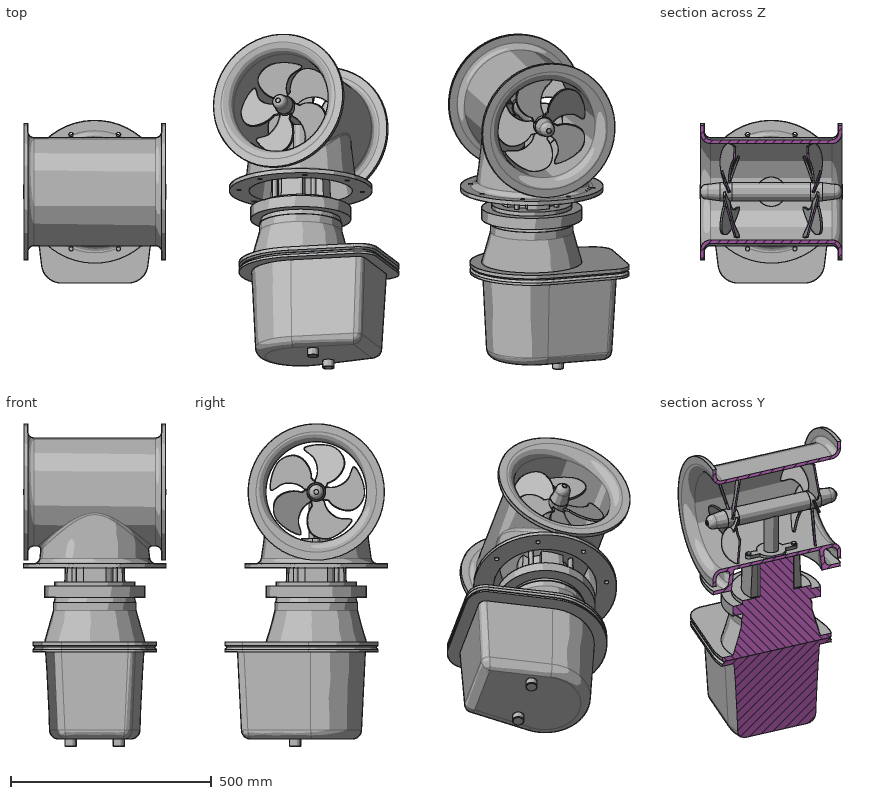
import cadquery as cq
import math


BORE_RADIUS = 125.0
TUNNEL_WALL = 10.0
TUNNEL_RADIUS = BORE_RADIUS + TUNNEL_WALL
TUNNEL_HALF_LENGTH = 176.5
BELL_RADIUS = 25.0
BELL_START = TUNNEL_HALF_LENGTH - BELL_RADIUS
RIM_RADIUS = 170.0
RIM_INNER_FACE = TUNNEL_HALF_LENGTH - TUNNEL_WALL
BELL_OUTER_RADIUS = BELL_RADIUS - TUNNEL_WALL

PEDESTAL_FLANGE_RADIUS = 178.0
PEDESTAL_FLANGE_TOP = -178.7
PEDESTAL_FLANGE_THICKNESS = 10.5
PEDESTAL_FLANGE_BOTTOM = PEDESTAL_FLANGE_TOP - PEDESTAL_FLANGE_THICKNESS
PEDESTAL_BASE_RADIUS = 138.8
PEDESTAL_DRAFT = 7.0
PEDESTAL_BASE_FILLET = 15.0
PEDESTAL_TOP_FILLET = 8.0
EDGE_MARGIN = 1.0
PEDESTAL_WALL = 10.0
FLANGE_HOLE_COUNT = 8
FLANGE_HOLE_DIAMETER = 10.5
FLANGE_HOLE_PITCH_RADIUS = 154.0

COLUMN_BOTTOM = -224.0
COLUMN_BOTTOM_RADIUS = 75.0
COLUMN_DRAFT = 2.5
COLUMN_CORE_RADIUS = 57.0
COLUMN_POST_WIDTH = 56.0
COLUMN_ROD_COUNT = 4
COLUMN_ROD_DIAMETER = 12.0
COLUMN_ROD_PITCH_RADIUS = 72.0
COLLAR_RADIUS = 100.0
COLLAR_BOTTOM = -234.0
RING_RADIUS = 125.0
RING_BOTTOM = -262.5
NECK_TOP_RADIUS = 99.0
NECK_BOTTOM_RADIUS = 101.5
BAND_RADIUS = 103.0
BAND_TOP = -275.0
BAND_BOTTOM = -295.0
CONE_BASE_RADIUS = 125.0
LID_TOP = -373.2
LID_BOTTOM = -386.5
LID_CHAMFER = 4.5

LID_RADIUS = 154.0
OVERALL_DEPTH = 405.81
LID_END = OVERALL_DEPTH - PEDESTAL_FLANGE_RADIUS
LID_CORNER_RADIUS = 50.0
SIDE_ANGLE = 7.0

OVERALL_HEIGHT = 804.73
RIM_BOTTOM = -398.7
RIM_CHAMFER = 6.0
BOX_INSET = 31.4
BOX_BOTTOM = -616.0
BOX_DRAFT = 2.85
BOX_BOTTOM_FILLET = 24.0
BOX_CORNER_RADIUS = LID_CORNER_RADIUS - BOX_INSET
BOX_FOOT_DIAMETER = 28.5
BOX_FOOT_CHAMFER = 1.5
BOX_FOOT_BOTTOM = RIM_RADIUS - OVERALL_HEIGHT
BOX_FOOT_OFFSET_X = 60.0
BOX_FOOT_Y = -52.5

GEAR_RADIUS = 23.0
GEAR_HALF_LENGTH = 98.0
HUB_RADIUS = 23.5
SPINNER_START = 128.0
SPINNER_START_RADIUS = 22.5
DOME_START = 158.0
DOME_RADIUS = 18.5
DOME_END = 176.0
STUD_RADIUS = 6.0
STUD_END = 178.0
LEG_RADIUS = 18.5
LEG_FOOT_DIAMETER = 73.0
LEG_FOOT_TOP = -116.0
BOLT_HEAD_DIAMETER = 12.0
BOLT_HEAD_HEIGHT = 4.0
BOLT_OFFSET_X = 62.0
FOOT_BAR_LENGTH = 140.0
FOOT_BAR_WIDTH = 18.0
BLADE_COUNT = 5
BLADE_PITCH = 20.0
BLADE_RAKE = 9.5
BLADE_THICKNESS = 5.0
BLADE_MID_X = -110.0
BLADE_ROOT_LEADING = (-20, 0)
BLADE_NECK_LEADING = (-31, 21)
BLADE_LEADING_CURVE = [(-67, 46), (-75, 68), (-65, 95), (-36, 115)]
BLADE_TIP_MID = (-10, 119)
BLADE_TIP_END = (20, 117)
BLADE_TRAILING_CURVE = [(32, 111), (14, 94), (-1, 70), (2, 31)]
BLADE_ROOT_TRAILING = (2, 0)


def cylinder_x(radius, half_length):
    """Cylinder on the tunnel axis, centred on the origin."""
    return cq.Workplane("YZ").circle(radius).extrude(half_length, both=True)


def cylinder_z(radius, bottom, top):
    """Cylinder on the column axis."""
    return cq.Workplane("XY").workplane(offset=bottom).circle(radius).extrude(top - bottom)


def cone_z(bottom_radius, bottom, top, draft):
    """Cone on the column axis that narrows upwards by the draft angle."""
    top_radius = bottom_radius - (top - bottom) * math.tan(math.radians(draft))
    profile = cq.Workplane("XZ").moveTo(0, bottom).lineTo(bottom_radius, bottom)
    return profile.lineTo(top_radius, top).lineTo(0, top).close().revolve(360, (0, 0, 0), (0, 1, 0))


def bell_mouth_tube():
    """Tube along X whose wall sweeps outwards into a flat rim at both ends."""
    diagonal = math.sqrt(0.5)
    centre_radius = BORE_RADIUS + BELL_RADIUS
    inner_mid_x = BELL_START + BELL_RADIUS * diagonal
    inner_mid_radius = centre_radius - BELL_RADIUS * diagonal
    outer_mid_x = BELL_START + BELL_OUTER_RADIUS * diagonal
    outer_mid_radius = centre_radius - BELL_OUTER_RADIUS * diagonal
    profile = (
        cq.Workplane("XY")
        .moveTo(-BELL_START, BORE_RADIUS)
        .lineTo(BELL_START, BORE_RADIUS)
        .threePointArc((inner_mid_x, inner_mid_radius), (TUNNEL_HALF_LENGTH, centre_radius))
        .lineTo(TUNNEL_HALF_LENGTH, RIM_RADIUS)
        .lineTo(RIM_INNER_FACE, RIM_RADIUS)
        .lineTo(RIM_INNER_FACE, centre_radius)
        .threePointArc((outer_mid_x, outer_mid_radius), (BELL_START, TUNNEL_RADIUS))
        .lineTo(-BELL_START, TUNNEL_RADIUS)
        .threePointArc((-outer_mid_x, outer_mid_radius), (-RIM_INNER_FACE, centre_radius))
        .lineTo(-RIM_INNER_FACE, RIM_RADIUS)
        .lineTo(-TUNNEL_HALF_LENGTH, RIM_RADIUS)
        .lineTo(-TUNNEL_HALF_LENGTH, centre_radius)
        .threePointArc((-inner_mid_x, inner_mid_radius), (-BELL_START, BORE_RADIUS))
        .close()
    )
    return profile.revolve(360, (0, 0, 0), (1, 0, 0))


def make_tunnel():
    """Bell-mouthed tube on a hollow conical pedestal with a drilled flange."""
    pedestal = cone_z(PEDESTAL_BASE_RADIUS, PEDESTAL_FLANGE_TOP, 0, PEDESTAL_DRAFT)
    flange = cylinder_z(PEDESTAL_FLANGE_RADIUS, PEDESTAL_FLANGE_BOTTOM, PEDESTAL_FLANGE_TOP)
    foot = pedestal.union(flange)
    reach = FLANGE_HOLE_PITCH_RADIUS
    base_edge = cq.selectors.BoxSelector(
        (-reach, -reach, PEDESTAL_FLANGE_TOP - EDGE_MARGIN),
        (reach, reach, PEDESTAL_FLANGE_TOP + EDGE_MARGIN),
        boundingbox=True,
    )
    foot = foot.edges(base_edge).fillet(PEDESTAL_BASE_FILLET)
    body = foot.cut(cylinder_x(BORE_RADIUS, TUNNEL_HALF_LENGTH)).union(bell_mouth_tube())
    junction = cq.selectors.BoxSelector(
        (-BELL_START, -TUNNEL_RADIUS, -TUNNEL_RADIUS - EDGE_MARGIN),
        (BELL_START, TUNNEL_RADIUS, -TUNNEL_RADIUS / 4),
        boundingbox=True,
    )
    body = body.edges(junction).fillet(PEDESTAL_TOP_FILLET)

    cavity_radius = PEDESTAL_BASE_RADIUS - PEDESTAL_WALL
    cavity = cone_z(cavity_radius, PEDESTAL_FLANGE_BOTTOM, 0, PEDESTAL_DRAFT)
    body = body.cut(cavity.cut(cylinder_x(TUNNEL_RADIUS, TUNNEL_HALF_LENGTH)))

    holes = (
        cq.Workplane("XY")
        .workplane(offset=PEDESTAL_FLANGE_BOTTOM)
        .polarArray(FLANGE_HOLE_PITCH_RADIUS, 180 / FLANGE_HOLE_COUNT, 360, FLANGE_HOLE_COUNT)
        .circle(FLANGE_HOLE_DIAMETER / 2)
        .extrude(2 * PEDESTAL_FLANGE_THICKNESS)
    )
    return body.cut(holes)


def rounded_outline(height, radius, end, corner):
    """Closed wire: an arc around the column axis, two converging sides and two round corners at y = -end."""
    angle = math.radians(SIDE_ANGLE)
    arc_x = radius * math.cos(angle)
    arc_y = -radius * math.sin(angle)
    centre_y = corner - end
    centre_x = (radius - corner + centre_y * math.sin(angle)) / math.cos(angle)
    side_x = centre_x + corner * math.cos(angle)
    side_y = centre_y - corner * math.sin(angle)
    mid_angle = (angle + math.pi / 2) / 2
    corner_x = centre_x + corner * math.cos(mid_angle)
    corner_y = centre_y - corner * math.sin(mid_angle)
    return (
        cq.Workplane("XY")
        .workplane(offset=height)
        .moveTo(arc_x, arc_y)
        .threePointArc((0, radius), (-arc_x, arc_y))
        .lineTo(-side_x, side_y)
        .threePointArc((-corner_x, corner_y), (-centre_x, -end))
        .lineTo(centre_x, -end)
        .threePointArc((corner_x, corner_y), (side_x, side_y))
        .close()
    )


def saddle_column():
    """Core, four posts and four rods that rise to the underside of the tunnel."""
    envelope = cone_z(COLUMN_BOTTOM_RADIUS, COLUMN_BOTTOM, -BORE_RADIUS / 2, COLUMN_DRAFT)
    height = -COLUMN_BOTTOM
    base = cq.Workplane("XY").workplane(offset=COLUMN_BOTTOM)
    post_pair = base.rect(2 * COLUMN_BOTTOM_RADIUS, COLUMN_POST_WIDTH).extrude(height)
    cross = post_pair.union(post_pair.rotate((0, 0, 0), (0, 0, 1), 90))
    core = cylinder_z(COLUMN_CORE_RADIUS, COLUMN_BOTTOM, 0)
    rods = (
        base
        .polarArray(COLUMN_ROD_PITCH_RADIUS, 180 / COLUMN_ROD_COUNT, 360, COLUMN_ROD_COUNT)
        .circle(COLUMN_ROD_DIAMETER / 2)
        .extrude(height)
    )
    column = cross.intersect(envelope).union(core).union(rods)
    return column.cut(cylinder_x(TUNNEL_RADIUS, TUNNEL_HALF_LENGTH))


def make_housing():
    """Column, collar, ring and cone standing on the lid of the motor box."""
    turned = (
        cq.Workplane("XZ")
        .moveTo(0, COLUMN_BOTTOM)
        .lineTo(COLLAR_RADIUS, COLUMN_BOTTOM)
        .lineTo(COLLAR_RADIUS, COLLAR_BOTTOM)
        .lineTo(RING_RADIUS, COLLAR_BOTTOM)
        .lineTo(RING_RADIUS, RING_BOTTOM)
        .lineTo(NECK_TOP_RADIUS, RING_BOTTOM)
        .lineTo(NECK_BOTTOM_RADIUS, BAND_TOP)
        .lineTo(BAND_RADIUS, BAND_TOP)
        .lineTo(BAND_RADIUS, BAND_BOTTOM)
        .lineTo(CONE_BASE_RADIUS, LID_TOP)
        .lineTo(0, LID_TOP)
        .close()
        .revolve(360, (0, 0, 0), (0, 1, 0))
    )
    lid = rounded_outline(LID_BOTTOM, LID_RADIUS, LID_END, LID_CORNER_RADIUS).extrude(LID_TOP - LID_BOTTOM)
    lid = lid.faces("<Z").edges().chamfer(LID_CHAMFER)
    return lid.union(turned).union(saddle_column())


def make_motor_box():
    """Tapered box with a chamfered rim under the lid and two round feet."""
    rim = rounded_outline(RIM_BOTTOM, LID_RADIUS, LID_END, LID_CORNER_RADIUS).extrude(LID_BOTTOM - RIM_BOTTOM)
    rim = rim.faces(">Z").edges().chamfer(RIM_CHAMFER)

    depth = RIM_BOTTOM - BOX_BOTTOM
    taper = depth * math.tan(math.radians(BOX_DRAFT))
    top_radius = LID_RADIUS - BOX_INSET
    top_end = LID_END - BOX_INSET
    top_wire = rounded_outline(RIM_BOTTOM, top_radius, top_end, BOX_CORNER_RADIUS).val()
    bottom_wire = rounded_outline(BOX_BOTTOM, top_radius - taper, top_end - taper, BOX_CORNER_RADIUS).val()
    box = cq.Workplane(cq.Solid.makeLoft([top_wire, bottom_wire], True))
    box = box.faces("<Z").edges().fillet(BOX_BOTTOM_FILLET)

    feet = (
        cq.Workplane("XY")
        .workplane(offset=BOX_FOOT_BOTTOM)
        .pushPoints([(-BOX_FOOT_OFFSET_X, BOX_FOOT_Y), (BOX_FOOT_OFFSET_X, BOX_FOOT_Y)])
        .circle(BOX_FOOT_DIAMETER / 2)
        .extrude(BOX_BOTTOM - BOX_FOOT_BOTTOM)
        .faces("<Z")
        .edges()
        .chamfer(BOX_FOOT_CHAMFER)
    )
    return rim.union(box).union(feet)


def make_blade():
    """Flat sickle-shaped blade, turned about its radial line and with its tip leaning towards mid-tunnel."""
    pitch = math.radians(BLADE_PITCH)
    plane = cq.Plane(
        origin=(BLADE_MID_X, 0, 0),
        xDir=(math.sin(pitch), -math.cos(pitch), 0),
        normal=(-math.cos(pitch), -math.sin(pitch), 0),
    )
    return (
        cq.Workplane(plane)
        .moveTo(*BLADE_ROOT_LEADING)
        .lineTo(*BLADE_NECK_LEADING)
        .spline(BLADE_LEADING_CURVE, includeCurrent=True)
        .threePointArc(BLADE_TIP_MID, BLADE_TIP_END)
        .spline(BLADE_TRAILING_CURVE, includeCurrent=True)
        .lineTo(*BLADE_ROOT_TRAILING)
        .close()
        .extrude(BLADE_THICKNESS / 2, both=True)
        .rotate((BLADE_MID_X, 0, 0), (BLADE_MID_X, 1, 0), BLADE_RAKE)
    )


def make_propeller():
    """Hub, tapered spinner with a domed nose, end stud and the ring of blades, at the -X end."""
    dome_mid = math.sqrt(0.5)
    dome_length = DOME_END - DOME_START
    hub = (
        cq.Workplane("XY")
        .moveTo(-GEAR_HALF_LENGTH, 0)
        .lineTo(-GEAR_HALF_LENGTH, HUB_RADIUS)
        .lineTo(-SPINNER_START, HUB_RADIUS)
        .lineTo(-SPINNER_START, SPINNER_START_RADIUS)
        .lineTo(-DOME_START, DOME_RADIUS)
        .threePointArc(
            (-DOME_START - dome_length * dome_mid, STUD_RADIUS + (DOME_RADIUS - STUD_RADIUS) * dome_mid),
            (-DOME_END, STUD_RADIUS),
        )
        .lineTo(-STUD_END, STUD_RADIUS)
        .lineTo(-STUD_END, 0)
        .close()
        .revolve(360, (0, 0, 0), (1, 0, 0))
    )
    blade = make_blade()
    for index in range(BLADE_COUNT):
        hub = hub.union(blade.rotate((0, 0, 0), (1, 0, 0), index * 360 / BLADE_COUNT))
    return hub


def make_drive():
    """Gear case on a leg whose bolted foot rests on the bore, with mirrored propellers at both ends."""
    gear = cylinder_x(GEAR_RADIUS, GEAR_HALF_LENGTH)
    leg = cylinder_z(LEG_RADIUS, LEG_FOOT_TOP, 0)
    disc = cylinder_z(LEG_FOOT_DIAMETER / 2, -BORE_RADIUS, LEG_FOOT_TOP)
    bar = (
        cq.Workplane("XY")
        .workplane(offset=-BORE_RADIUS)
        .slot2D(FOOT_BAR_LENGTH, FOOT_BAR_WIDTH)
        .extrude(LEG_FOOT_TOP + BORE_RADIUS)
    )
    foot = disc.union(bar).intersect(cylinder_x(BORE_RADIUS, TUNNEL_HALF_LENGTH))
    bolts = (
        cq.Workplane("XY")
        .workplane(offset=LEG_FOOT_TOP)
        .pushPoints([(-BOLT_OFFSET_X, 0), (BOLT_OFFSET_X, 0)])
        .circle(BOLT_HEAD_DIAMETER / 2)
        .extrude(BOLT_HEAD_HEIGHT)
    )
    propeller = make_propeller()
    return gear.union(leg).union(foot).union(bolts).union(propeller).union(propeller.mirror("YZ"))


tunnel = make_tunnel()
housing = make_housing()
motor_box = make_motor_box()
drive = make_drive()

bodies = [tunnel, housing, motor_box, drive]
result = cq.Compound.makeCompound([body.solids().val() for body in bodies])